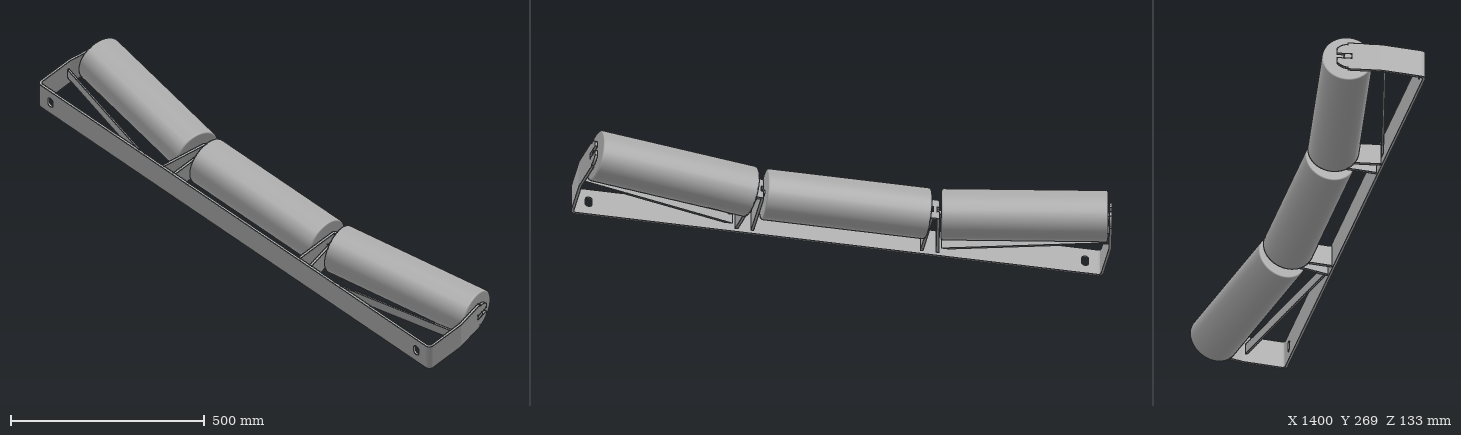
import cadquery as cq
import math


frame_length = 1400.0
frame_width = 80.0
sheet = 7.0
inner_bend = 7.0
outer_bend = inner_bend + sheet

roller_diameter = 133.0
roller_length = 430.0
roller_edge_radius = 5.0
shaft_diameter = 21.0
shaft_flats = 14.0
plate_gap = 4.0
middle_axis_y = 126.0
wing_center_x = 462.0
wing_center_y = 167.0
wing_tilt = 10.0

tip_radius = 35.0
tip_height = 28.0
bracket_width = 60.0
bracket_height = 148.0
bracket_bend = 8.0

brace_width = 30.0
brace_sheet = 5.0
brace_wall_y = 112.0
brace_foot_x = 275.0

slot_center_x = 652.0
slot_width = 18.0
slot_length = 30.0

plate_inner = roller_length / 2 + plate_gap
plate_outer = plate_inner + sheet
tilt = math.radians(wing_tilt)


def right_wing_point(along, above):
    """Point in XY, measured along the right wing roller's axis and square to it."""
    return (
        wing_center_x + along * math.cos(tilt) - above * math.sin(tilt),
        wing_center_y + along * math.sin(tilt) + above * math.cos(tilt),
    )


def right_wing_point_at_x(along, x):
    above = (wing_center_x + along * math.cos(tilt) - x) / math.sin(tilt)
    return right_wing_point(along, above)


def right_wing_point_at_y(along, y):
    above = (y - wing_center_y - along * math.sin(tilt)) / math.cos(tilt)
    return right_wing_point(along, above)


def prism(points, width):
    """Outline in XY extruded evenly to both sides of Z = 0."""
    return cq.Workplane("XY").workplane(offset=-width / 2).polyline(points).close().extrude(width)


def x_cylinder(diameter, length):
    """Cylinder along X, centred on the origin."""
    return cq.Workplane("YZ").workplane(offset=-length / 2).circle(diameter / 2).extrude(length)


def mirrored(points):
    """Right-hand points followed by their mirror images, as one loop."""
    return points + [(-x, y) for x, y in reversed(points)]


def mirror_body(body):
    return body.mirror("YZ")


def to_middle(body):
    return body.translate((0, middle_axis_y, 0))


def to_right_wing(body):
    turned = body.rotate((0, 0, 0), (0, 0, 1), wing_tilt)
    return turned.translate((wing_center_x, wing_center_y, 0))


def make_roller():
    """Roller on the X axis, with a flatted shaft end filling each plate slot."""
    drum = x_cylinder(roller_diameter, roller_length).edges().fillet(roller_edge_radius)
    shaft = x_cylinder(shaft_diameter, 2 * plate_outer)
    flats = cq.Workplane("XY").box(2 * plate_outer, shaft_diameter, shaft_flats)
    return drum.union(shaft.intersect(flats))


def make_slot_cutter():
    """Open shaft slots for both plates beside a roller on the X axis."""
    height = shaft_diameter / 2 + tip_radius
    return cq.Workplane("XY").box(2 * plate_outer, height, shaft_flats).translate(
        (0, height / 2 - shaft_diameter / 2, 0)
    )


def make_tip_trimmer():
    """What lies outside the round plate tips beside a roller on the X axis."""
    block = cq.Workplane("XY").box(2 * plate_outer, tip_radius, frame_width)
    disc = x_cylinder(2 * tip_radius, 2 * plate_outer)
    return block.translate((0, tip_radius / 2, 0)).cut(disc)


def make_frame():
    half_length = frame_length / 2
    inner_x = half_length - sheet
    tip_outer = right_wing_point(plate_outer, tip_height)
    tip_inner = right_wing_point(plate_inner, tip_height)
    outer_knee = right_wing_point_at_x(plate_outer, half_length)
    inner_knee = right_wing_point_at_x(plate_inner, inner_x)
    above_tip = right_wing_point(plate_inner, 2 * tip_height)

    folds = "|Z and (<X or >X)"
    outside = prism(mirrored([(half_length, 0), outer_knee, tip_outer, tip_inner]), frame_width)
    outside = outside.edges(folds).fillet(outer_bend)
    inside = prism(mirrored([(inner_x, sheet), inner_knee, above_tip]), frame_width)
    inside = inside.edges(folds).fillet(inner_bend)
    frame = outside.cut(inside)

    for cutter in (make_tip_trimmer(), make_slot_cutter()):
        right_cutter = to_right_wing(cutter)
        frame = frame.cut(right_cutter).cut(mirror_body(right_cutter))

    mounting_slots = (
        cq.Workplane("XZ").pushPoints([(-slot_center_x, 0), (slot_center_x, 0)])
        .slot2D(slot_length, slot_width, 90).extrude(-sheet)
    )
    return frame.cut(mounting_slots)


def make_right_bracket():
    """Folded bracket between the middle roller and the right wing roller."""
    inner_top = bracket_height - sheet
    outside = prism(
        [
            (plate_inner, sheet),
            right_wing_point_at_y(-plate_inner, sheet),
            right_wing_point_at_y(-plate_inner, bracket_height),
            (plate_inner, bracket_height),
        ],
        bracket_width,
    ).edges("|Z and >Y").fillet(bracket_bend)
    inside = prism(
        [
            (plate_outer, sheet),
            right_wing_point_at_y(-plate_outer, sheet),
            right_wing_point_at_y(-plate_outer, inner_top),
            (plate_outer, inner_top),
        ],
        bracket_width,
    )
    slots = make_slot_cutter()
    return outside.cut(inside).cut(to_middle(slots)).cut(to_right_wing(slots))


def make_right_brace():
    """Flat strip sloping from the end plate down to the base."""
    wall_x = frame_length / 2 - sheet
    slope = math.atan2(brace_wall_y - sheet, wall_x - brace_foot_x)
    return prism(
        [
            (brace_foot_x, sheet),
            (wall_x, brace_wall_y),
            (wall_x, brace_wall_y - brace_sheet / math.cos(slope)),
            (brace_foot_x + brace_sheet / math.sin(slope), sheet),
        ],
        brace_width,
    )


frame = make_frame()
middle_roller = to_middle(make_roller())
right_bodies = [to_right_wing(make_roller()), make_right_bracket(), make_right_brace()]

bodies = [frame, middle_roller]
for body in right_bodies:
    bodies += [body, mirror_body(body)]

result = cq.Compound.makeCompound([body.val() for body in bodies])